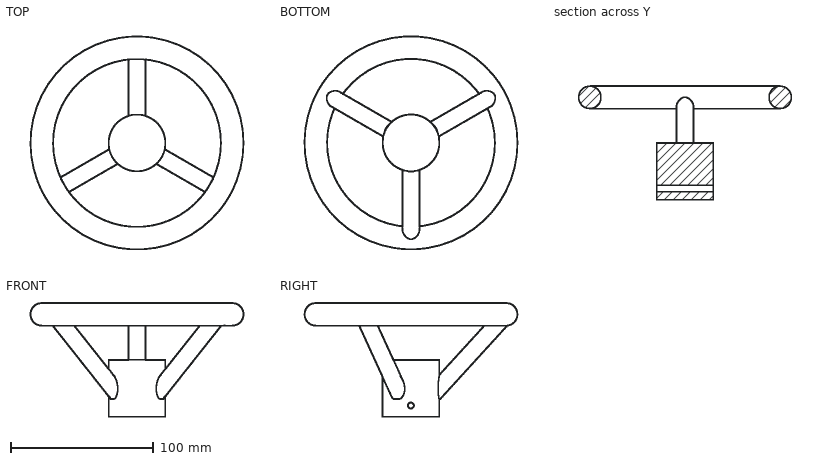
import cadquery as cq
import math

rim_outer_diameter = 149.9
rim_tube_diameter = 16.0
rim_tube_radius = rim_tube_diameter / 2
rim_center_radius = rim_outer_diameter / 2 - rim_tube_radius

hub_diameter = 40.0
hub_radius = hub_diameter / 2
hub_height = 40.0

total_height = 80.0
rim_center_height = total_height - rim_tube_radius

spoke_diameter = 12.0
spoke_count = 3
first_spoke_angle = 90.0
spoke_hub_height = 20.7
spoke_embed = 6.0

pin_diameter = 4.0
pin_height = 8.0


def make_rim():
    """Torus around the Z axis, revolved from a tube section that starts at its lowest point.

    This puts the seam of the torus under the rim, where it runs into the spokes; the union needs it there.
    """
    section_center = (rim_center_radius, 0, rim_center_height)
    section_plane = cq.Plane(origin=section_center, xDir=(0, 0, -1), normal=(0, -1, 0))
    tube_section = cq.Workplane(section_plane).circle(rim_tube_radius)
    return tube_section.revolve(360, (0, -rim_center_radius), (1, -rim_center_radius))


def make_spoke(angle):
    """Inclined round bar in the vertical plane at the given angle about Z."""
    run = rim_center_radius - hub_radius
    rise = rim_center_height - spoke_hub_height
    exposed_length = math.hypot(run, rise)
    axis = cq.Vector(run, 0, rise).normalized()
    start = cq.Vector(hub_radius, 0, spoke_hub_height) - axis * spoke_embed
    spoke = cq.Solid.makeCylinder(spoke_diameter / 2, exposed_length + spoke_embed, start, axis)
    return cq.Workplane(spoke).rotate((0, 0, 0), (0, 0, 1), angle)


def make_pin_hole():
    """Cylinder along X that crosses the whole hub."""
    return cq.Workplane("YZ").center(0, pin_height).circle(pin_diameter / 2).extrude(hub_radius, both=True)


hub = cq.Workplane("XY").circle(hub_radius).extrude(hub_height)

result = hub
for index in range(spoke_count):
    result = result.union(make_spoke(first_spoke_angle + index * 360 / spoke_count))
result = result.union(make_rim())
result = result.cut(make_pin_hole())